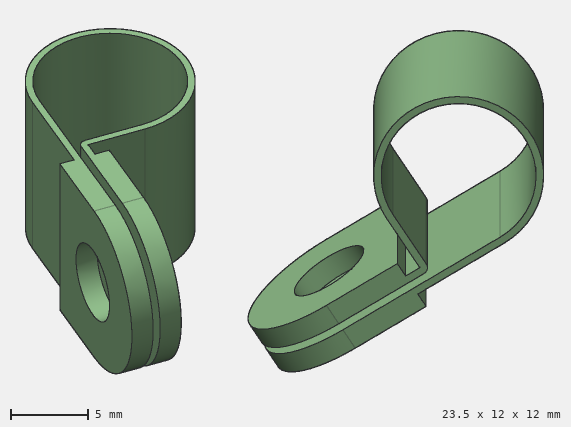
import cadquery as cq
import math

length = 23.5
width = 12.0
loop_radius = 5.5
thickness = 0.5
gap = 0.5
pad_thickness = 1.5
pad_start = 12.08
hole_diameter = 5.3
hole_distance = 17.3

bore_radius = loop_radius - thickness
tab_end = length - loop_radius
pad_x = pad_start - loop_radius
hole_x = hole_distance - loop_radius
round_radius = width / 2
round_x = tab_end - round_radius
lower_outer = -loop_radius
lower_inner = lower_outer + thickness
upper_inner = lower_inner + gap
upper_outer = upper_inner + thickness
lower_pad_face = lower_inner - pad_thickness
upper_pad_face = upper_inner + pad_thickness
bend_radius = thickness
diagonal = math.sqrt(0.5)


def clamp_band():
    """Loop, bend and both tabs as one profile extruded along Z."""
    bend_mid = (
        bore_radius + bend_radius * (1 - diagonal),
        upper_inner + bend_radius * (1 - diagonal),
    )
    return (
        cq.Workplane("XY")
        .workplane(offset=-width / 2)
        .moveTo(tab_end, lower_pad_face)
        .lineTo(pad_x, lower_pad_face)
        .lineTo(pad_x, lower_outer)
        .lineTo(0, lower_outer)
        .threePointArc((-loop_radius * diagonal, loop_radius * diagonal), (loop_radius, 0))
        .lineTo(loop_radius, upper_outer)
        .lineTo(pad_x, upper_outer)
        .lineTo(pad_x, upper_pad_face)
        .lineTo(tab_end, upper_pad_face)
        .lineTo(tab_end, upper_inner)
        .lineTo(bore_radius + bend_radius, upper_inner)
        .threePointArc(bend_mid, (bore_radius, upper_inner + bend_radius))
        .lineTo(bore_radius, 0)
        .threePointArc((-bore_radius * diagonal, bore_radius * diagonal), (0, lower_inner))
        .lineTo(tab_end, lower_inner)
        .close()
        .extrude(width)
    )


def side_outline():
    """Block spanning the clamp in Y, with the half-round tab end."""
    return (
        cq.Workplane("XZ")
        .moveTo(-loop_radius, -width / 2)
        .lineTo(round_x, -width / 2)
        .threePointArc((tab_end, 0), (round_x, width / 2))
        .lineTo(-loop_radius, width / 2)
        .close()
        .extrude(length, both=True)
    )


def screw_hole():
    """Cylinder along Y, through both tabs."""
    return (
        cq.Workplane("XZ")
        .center(hole_x, 0)
        .circle(hole_diameter / 2)
        .extrude(length, both=True)
    )


result = clamp_band().intersect(side_outline()).cut(screw_hole())